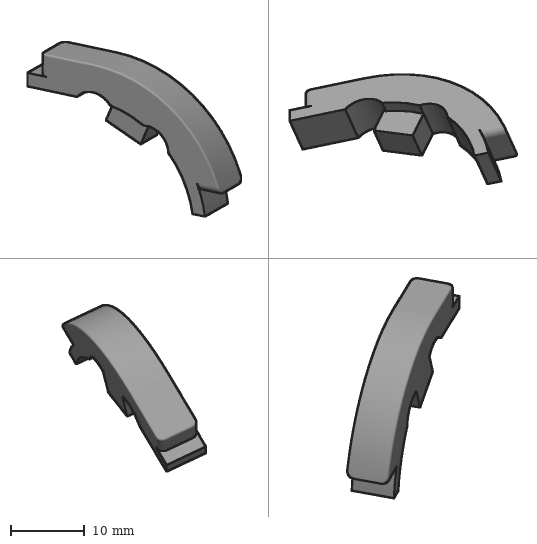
import cadquery as cq
import math

width = 6.0
outer_radius = 20.95
step_radius = 17.75
inner_radius = 15.8
liner_left = -10.53
liner_bottom = 2.45
cover_left = -8.55
cover_bottom = 5.92
corner_fillet = 1.0
rim_fillet = 0.27

scallop_radius = 3.4
scallop_places = [(13.55, -0.6), (13.35, 39.0)]

tab_tilt = 23.5
tab_left = -4.25
tab_right = 1.77
tab_bottom = 11.85
tab_top = 16.48
tab_width = 4.25


def on_circle(radius, height):
    """Point at the given height on the +X half of a circle around the axis."""
    return math.sqrt(radius**2 - height**2), height


def arc_middle(radius, height):
    """Middle of the arc from the top of the circle down to the given height."""
    angle = math.acos(height / radius) / 2
    return radius * math.sin(angle), radius * math.cos(angle)


def side_sketch():
    """Sketch plane on the rear face, extruding toward the front face."""
    return cq.Workplane("XZ", origin=(0, width, 0))


def curved_band(bottom_radius, top_radius, left, bottom):
    """Straight run followed by a concentric arc, cut level at its lower end."""
    return (
        side_sketch()
        .moveTo(left, bottom_radius)
        .lineTo(left, top_radius)
        .lineTo(0, top_radius)
        .threePointArc(arc_middle(top_radius, bottom), on_circle(top_radius, bottom))
        .lineTo(*on_circle(bottom_radius, bottom))
        .threePointArc(arc_middle(bottom_radius, bottom), (0, bottom_radius))
        .close()
        .extrude(width)
    )


def make_cover():
    """Outer band with rounded end corners and a small fillet around its outer face."""
    cover = curved_band(step_radius, outer_radius, cover_left, cover_bottom)
    cover = cover.faces("<X").edges("|Z").fillet(corner_fillet)
    cover = cover.faces("<Z").edges("|X").fillet(corner_fillet)
    return cover.faces(">Z").edges("<X").fillet(rim_fillet)


def make_scallop(distance, angle):
    """Cylinder across the full width that hollows the inner face."""
    direction = math.radians(angle)
    return (
        side_sketch()
        .center(distance * math.sin(direction), distance * math.cos(direction))
        .circle(scallop_radius)
        .extrude(width)
    )


def make_tab():
    """Tilted block on the rear side, with its top buried in the body."""
    tab = (
        side_sketch()
        .moveTo(tab_left, tab_bottom)
        .lineTo(tab_right, tab_bottom)
        .lineTo(tab_right, tab_top)
        .lineTo(tab_left, tab_top)
        .close()
        .extrude(tab_width)
    )
    return tab.rotate((0, 0, 0), (0, 1, 0), tab_tilt)


body = curved_band(inner_radius, step_radius, liner_left, liner_bottom).union(make_cover())
for distance, angle in scallop_places:
    body = body.cut(make_scallop(distance, angle))

result = body.union(make_tab())